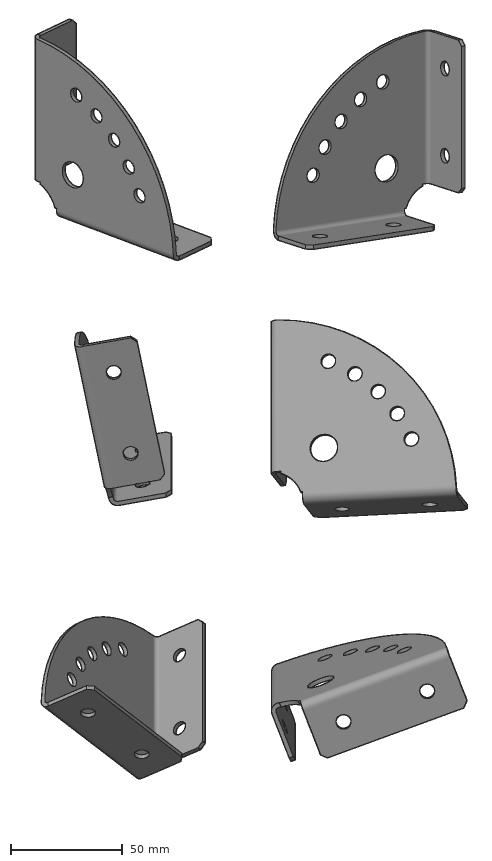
import cadquery as cq
import math

plate_radius = 85.0
depth = 28.0
thickness = 2.0
bend_outer = 4.0
bend_inner = bend_outer - thickness

corner_radius = 15.0
relief_width = 5.0
flange_start = corner_radius
flange_chamfer = 2.5

pivot_offset = 24.7
pivot_diameter = 12.5

hole_diameter = 6.6
index_radius = 69.95
index_count = 5
index_first_angle = 22.5
index_step = 11.25

mount_positions = (30.0, 69.95)
mount_height = 15.0

bend_end = math.sqrt(plate_radius**2 - bend_outer**2)


def front_cylinder(x, z, radius):
    """Cylinder along Y passing through the plate thickness."""
    return cq.Workplane("XZ").center(x, z).circle(radius).extrude(-thickness)


def make_plate():
    """Flat quarter disc with corner cutout, reliefs and holes."""
    arc_middle = plate_radius * math.sqrt(0.5)
    plate = (
        cq.Workplane("XZ")
        .moveTo(bend_outer, bend_outer)
        .lineTo(bend_end, bend_outer)
        .threePointArc((arc_middle, arc_middle), (bend_outer, bend_end))
        .close()
        .extrude(-thickness)
    )
    plate = plate.cut(front_cylinder(0, 0, corner_radius))
    for width, height in ((relief_width, flange_start), (flange_start, relief_width)):
        plate = plate.cut(cq.Workplane().box(width, thickness, height, centered=False))

    plate = plate.cut(front_cylinder(pivot_offset, pivot_offset, pivot_diameter / 2))
    for i in range(index_count):
        angle = math.radians(index_first_angle + i * index_step)
        x = index_radius * math.cos(angle)
        z = index_radius * math.sin(angle)
        plate = plate.cut(front_cylinder(x, z, hole_diameter / 2))
    return plate


def make_bottom_flange():
    """Bend and flat flange along X."""
    diagonal = math.sqrt(0.5)
    outer_middle = bend_outer - bend_outer * diagonal
    inner_middle = bend_outer - bend_inner * diagonal
    bend = (
        cq.Workplane("YZ", origin=(flange_start, 0, 0))
        .moveTo(0, bend_outer)
        .threePointArc((outer_middle, outer_middle), (bend_outer, 0))
        .lineTo(bend_outer, thickness)
        .threePointArc((inner_middle, inner_middle), (thickness, bend_outer))
        .close()
        .extrude(bend_end - flange_start)
    )
    flat = (
        cq.Workplane("XY")
        .moveTo(flange_start, bend_outer)
        .lineTo(plate_radius, bend_outer)
        .lineTo(plate_radius, depth - flange_chamfer)
        .lineTo(plate_radius - flange_chamfer, depth)
        .lineTo(flange_start + flange_chamfer, depth)
        .lineTo(flange_start, depth - flange_chamfer)
        .close()
        .extrude(thickness)
    )
    holes = (
        cq.Workplane("XY")
        .pushPoints([(x, mount_height) for x in mount_positions])
        .circle(hole_diameter / 2)
        .extrude(thickness)
    )
    return bend.union(flat.cut(holes))


bottom_flange = make_bottom_flange()
side_flange = bottom_flange.mirror((1, 0, -1))
result = make_plate().union(bottom_flange).union(side_flange)